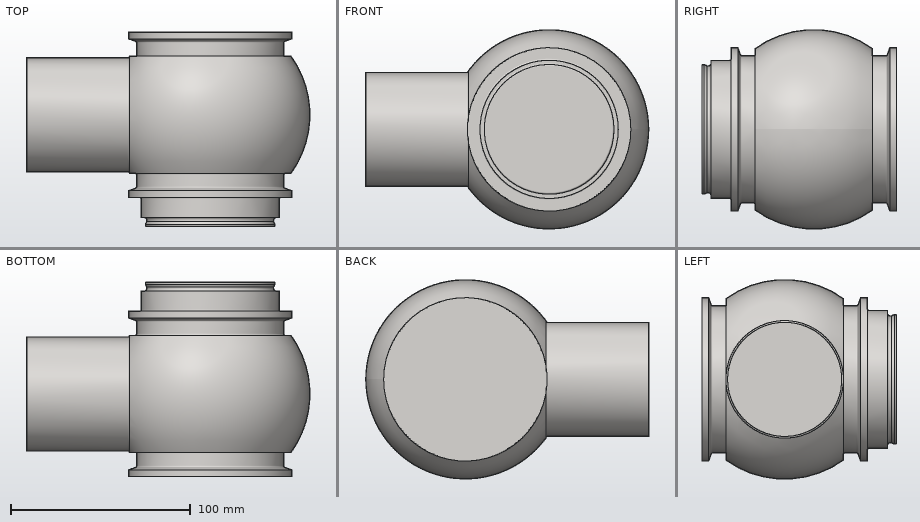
import cadquery as cq
import math

overall_length = 157.5
overall_depth = 108.2
ball_radius = 111.0 / 2
port_face = 32.6
inlet_face = 44.9

inlet_radius = 63.5 / 2
inlet_end = overall_length - ball_radius

neck_radius = 81.9 / 2
flange_radius = 90.9 / 2
flange_rim_inner = 42.2
flange_end = 46.0
taper_angle = 20

spigot_radius = 76.9 / 2
spigot_end = 57.2
groove_radius = 70.7 / 2
groove_root_radius = 1.4
groove_end = 59.4
lip_radius = 72.1 / 2
lip_start = 61.0
tip_end = overall_depth - flange_end

root_radius = 0.8
tip_radius = 0.8


def arc_middle(fillet_radius):
    """Offset of a quarter arc's midpoint from the corner it rounds."""
    return fillet_radius * (1 - math.sqrt(0.5))


def root_fillet(outline, radius, axial, fillet_radius):
    """Run along a shoulder, then curve outward in -Y onto a cylinder of the given radius."""
    middle = arc_middle(fillet_radius)
    return outline.lineTo(radius + fillet_radius, axial).threePointArc(
        (radius + middle, axial - middle),
        (radius, axial - fillet_radius),
    )


def flange(outline, side):
    """Run up the neck, round into the taper and over the rim; side is +1 for +Y, -1 for -Y."""
    angle = math.radians(taper_angle)
    taper_root = flange_rim_inner - (flange_radius - neck_radius) * math.tan(angle)
    half_turn = (math.pi / 2 - angle) / 2
    tangent_length = root_radius * math.tan(half_turn)
    arc_start = taper_root - tangent_length
    arc_center_radius = neck_radius + root_radius
    return (
        outline.lineTo(neck_radius, side * arc_start)
        .threePointArc(
            (
                arc_center_radius - root_radius * math.cos(half_turn),
                side * (arc_start + root_radius * math.sin(half_turn)),
            ),
            (
                neck_radius + tangent_length * math.cos(angle),
                side * (taper_root + tangent_length * math.sin(angle)),
            ),
        )
        .lineTo(flange_radius, side * flange_rim_inner)
        .lineTo(flange_radius, side * flange_end)
    )


def make_ball():
    """Zone of a sphere between the port faces, cut flat on the inlet side."""
    face_radius = math.sqrt(ball_radius**2 - port_face**2)
    zone = (
        cq.Workplane("XY")
        .moveTo(0, -port_face)
        .lineTo(face_radius, -port_face)
        .threePointArc((ball_radius, 0), (face_radius, port_face))
        .lineTo(0, port_face)
        .close()
        .revolve(360, (0, 0, 0), (0, 1, 0))
    )
    beyond_inlet_face = cq.Workplane("YZ", origin=(-inlet_face, 0, 0)).rect(
        2 * ball_radius, 2 * ball_radius
    ).extrude(-ball_radius)
    return zone.cut(beyond_inlet_face)


def make_inlet():
    """Stub revolved about X, with a concave fillet at the ball face."""
    middle = arc_middle(root_radius)
    return (
        cq.Workplane("XY")
        .lineTo(-inlet_end, 0)
        .lineTo(-inlet_end, inlet_radius)
        .lineTo(-inlet_face - root_radius, inlet_radius)
        .threePointArc(
            (-inlet_face - middle, inlet_radius + middle),
            (-inlet_face, inlet_radius + root_radius),
        )
        .lineTo(-inlet_face, 0)
        .close()
        .revolve(360, (0, 0, 0), (1, 0, 0))
    )


def make_rear_port():
    """Neck and flange on the +Y side."""
    outline = cq.Workplane("XY").lineTo(neck_radius, 0)
    outline = flange(outline, 1)
    return outline.lineTo(0, flange_end).close().revolve(360, (0, 0, 0), (0, 1, 0))


def make_front_port():
    """Neck, flange, spigot and grooved tip on the -Y side."""
    outline = cq.Workplane("XY").lineTo(neck_radius + root_radius, 0)
    outline = root_fillet(outline, neck_radius, -port_face, root_radius)
    outline = flange(outline, -1)
    outline = root_fillet(outline, spigot_radius, -flange_end, root_radius)
    outline = outline.lineTo(spigot_radius, -spigot_end)
    outline = root_fillet(outline, groove_radius, -spigot_end, groove_root_radius)
    round_middle = arc_middle(tip_radius)
    outline = (
        outline.lineTo(groove_radius, -groove_end)
        .lineTo(lip_radius, -lip_start)
        .lineTo(lip_radius, -tip_end + tip_radius)
        .threePointArc(
            (lip_radius - round_middle, -tip_end + round_middle),
            (lip_radius - tip_radius, -tip_end),
        )
        .lineTo(0, -tip_end)
    )
    return outline.close().revolve(360, (0, 0, 0), (0, 1, 0))


result = make_ball().union(make_inlet()).union(make_rear_port()).union(make_front_port())